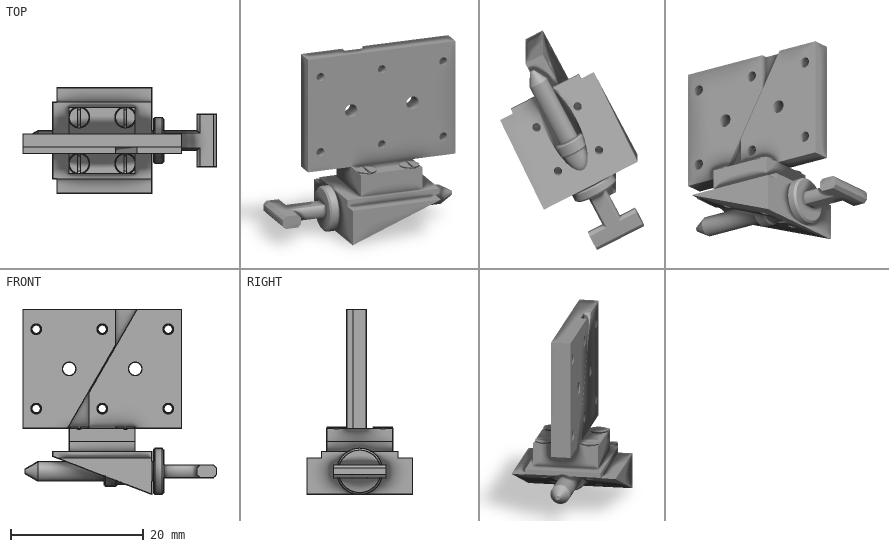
import cadquery as cq
import math


overall_length = 29.3
plate_width = 24.0
plate_height = 18.0
back_thickness = 2.0
cover_thickness = 1.0
plate_back_y = back_thickness / 2
back_front_y = -back_thickness / 2
cover_front_y = back_front_y - cover_thickness
fixing_pitch_x = 10.0
fixing_pitch_z = 12.0
tapped_dia = 1.25
clearance_dia = 1.6
window_dia = 2.0
window_pitch = 10.0
boss_dia = 2.5
boss_lip = 0.5
split_angle = 60.0
split_gap = 0.15
cover_step_x = 2.0

block_side = 10.0
block_thickness = 2.0

pad_thickness = 1.5
shelf_thickness = 1.0
shelf_width = 11.6
base_length = 15.0
base_width = 16.0
base_bottom_z = -10.0
slope_angle = 21.0
pad_top_z = -block_thickness
shelf_top_z = pad_top_z - pad_thickness
wing_top_z = shelf_top_z - shelf_thickness
nose_bottom_z = base_bottom_z + base_length * math.tan(math.radians(slope_angle))

screw_pitch = 7.0
head_dia = 3.0
head_top_z = 0.18
shank_dia = 1.6
screw_tip_z = -4.5
slot_width = 0.4
slot_depth = 0.35
block_hole_dia = 1.8
countersink_dia = 3.2

axis_z = -6.5
pin_dia = 3.0
pin_tip_dia = 0.7
pin_tip_x = -11.7
pin_tip_length = 2.0
collar_dia = 4.5
collar_start_x = 0.3
collar_length = 1.93
edge_chamfer = 0.2
sleeve_dia = 4.0
stud_dia = 2.5
stud_length = 1.2

guide_dia = 4.1
chamber_dia = 5.0
chamber_end_x = 6.0

knob_dia = 7.0
knob_start_x = 7.8
knob_thickness = 1.52
knob_outer_chamfer = 0.3
handle_length = 3.0
handle_span = 8.0
handle_height = 2.0
handle_chamfer = 0.5
knob_end_x = knob_start_x + knob_thickness
handle_end_x = overall_length - plate_width / 2
handle_start_x = handle_end_x - handle_length


def box(x_range, y_range, z_range):
    """Box between the given limits on each axis."""
    size = [r[1] - r[0] for r in (x_range, y_range, z_range)]
    corner = (x_range[0], y_range[0], z_range[0])
    return cq.Workplane("XY").box(*size, centered=False).translate(corner)


def centred(width):
    """Limits of a length centred on zero."""
    return (-width / 2, width / 2)


def front_profile(points, y_start, y_end):
    """Outline in X and Z, extruded along Y."""
    plane = cq.Workplane("XZ", origin=(0, y_end, 0))
    return plane.polyline(points).close().extrude(y_end - y_start)


def x_cylinder(diameter, x_start, x_end):
    """Cylinder on the plunger axis."""
    plane = cq.Workplane("YZ", origin=(x_start, 0, axis_z))
    return plane.circle(diameter / 2).extrude(x_end - x_start)


def z_cylinder(diameter, z_bottom, z_top):
    """Upright cylinder centred on the Z axis."""
    plane = cq.Workplane("XY", origin=(0, 0, z_bottom))
    return plane.circle(diameter / 2).extrude(z_top - z_bottom)


def z_cone(top_dia, bottom_dia, z_top):
    """90 degree countersunk shape, wide end up, centred on the Z axis."""
    depth = (top_dia - bottom_dia) / 2
    outline = [(0, z_top), (top_dia / 2, z_top), (bottom_dia / 2, z_top - depth), (0, z_top - depth)]
    return cq.Workplane("XZ").polyline(outline).close().revolve(360, (0, 0, 0), (0, 1, 0))


screw_places = [(x, y) for x in centred(screw_pitch) for y in centred(screw_pitch)]


def cut_at_screws(body, cutter):
    """Cut the same shape out of a body at every screw."""
    for x, y in screw_places:
        body = body.cut(cutter.translate((x, y, 0)))
    return body


def plate_cylinders(diameter, pitch_x, pitch_z, count_x, count_z, y_start, y_end):
    """Grid of cylinders along Y, centred on the upright plate."""
    plane = cq.Workplane("XZ", origin=(0, y_end, plate_height / 2))
    return plane.rarray(pitch_x, pitch_z, count_x, count_z).circle(diameter / 2).extrude(y_end - y_start)


def fixing_holes(diameter):
    """Cutters for the six fixing holes through the upright plates."""
    return plate_cylinders(diameter, fixing_pitch_x, fixing_pitch_z, 3, 2, cover_front_y, plate_back_y)


def windows():
    """Cutters for the two windows through the upright plates."""
    return plate_cylinders(window_dia, window_pitch, 0.3, 2, 1, cover_front_y, plate_back_y)


def bosses():
    """Locating bosses that stand on the back plate and fill recesses in the covers."""
    return plate_cylinders(boss_dia, window_pitch, 0.3, 2, 1, cover_front_y + boss_lip, back_front_y)


def make_holder():
    """Mounting block with the upright back plate and its bosses standing on it."""
    block = box(centred(block_side), centred(block_side), (-block_thickness, 0))
    block = cut_at_screws(block, z_cylinder(block_hole_dia, -block_thickness, 0))
    block = cut_at_screws(block, z_cone(countersink_dia, block_hole_dia, 0))
    plate = box(centred(plate_width), centred(back_thickness), (0, plate_height))
    plate = plate.union(bosses()).cut(fixing_holes(tapped_dia)).cut(windows())
    return block.union(plate)


def make_left_cover():
    """Left cover plate: slanted inner edge, ended by a vertical edge above."""
    slope = math.tan(math.radians(split_angle))
    bottom_x = -plate_height / 2 / slope - split_gap / 2
    step_z = (cover_step_x - bottom_x) * slope
    outline = [
        (-plate_width / 2, 0),
        (bottom_x, 0),
        (cover_step_x, step_z),
        (cover_step_x, plate_height),
        (-plate_width / 2, plate_height),
    ]
    cover = front_profile(outline, cover_front_y, back_front_y)
    return cover.cut(fixing_holes(clearance_dia)).cut(windows()).cut(bosses())


def make_right_cover(left_cover):
    """Right cover plate: the left one turned half a turn about the plate's centre."""
    centre = (0, 0, plate_height / 2)
    return left_cover.rotate(centre, (0, 1, plate_height / 2), 180)


def make_base():
    """Wedge with a sloping underside, two side wings, a shelf and a pad on top."""
    half_length = base_length / 2
    outline = [
        (-half_length, shelf_top_z),
        (-half_length, nose_bottom_z),
        (half_length, base_bottom_z),
        (half_length, shelf_top_z),
    ]
    base = front_profile(outline, *centred(base_width))
    for side in (-1, 1):
        wing_y = sorted((side * shelf_width / 2, side * base_width / 2))
        base = base.cut(box(centred(base_length), wing_y, (wing_top_z, shelf_top_z)))
    base = base.union(box(centred(block_side), centred(block_side), (shelf_top_z, pad_top_z)))
    base = cut_at_screws(base, z_cylinder(tapped_dia, base_bottom_z, pad_top_z))
    base = cut_at_screws(base, z_cylinder(shank_dia, screw_tip_z, pad_top_z))
    base = base.cut(x_cylinder(guide_dia, -half_length, half_length))
    return base.cut(x_cylinder(chamber_dia, -half_length, chamber_end_x))


def make_screw():
    """Slotted countersunk screw on the Z axis."""
    screw = z_cone(head_dia, shank_dia, head_top_z).union(z_cylinder(shank_dia, screw_tip_z, head_top_z))
    slot = box(centred(slot_width), centred(head_dia), (head_top_z - slot_depth, head_top_z))
    return screw.cut(slot)


def make_pin():
    """Plunger pin with a conical tip, a stop collar, a guide sleeve and a stud for the knob."""
    cone_end_x = pin_tip_x + pin_tip_length
    collar_end_x = collar_start_x + collar_length
    plane = cq.Workplane("XY", origin=(0, 0, axis_z))
    tip_outline = [(pin_tip_x, 0), (pin_tip_x, pin_tip_dia / 2), (cone_end_x, pin_dia / 2), (cone_end_x, 0)]
    tip = plane.polyline(tip_outline).close().revolve(360, (0, 0, 0), (1, 0, 0))
    collar = x_cylinder(collar_dia, collar_start_x, collar_end_x).edges().chamfer(edge_chamfer)
    pin = tip.union(x_cylinder(pin_dia, cone_end_x, knob_start_x))
    pin = pin.union(collar)
    pin = pin.union(x_cylinder(sleeve_dia, collar_end_x, base_length / 2))
    return pin.union(x_cylinder(stud_dia, knob_start_x, knob_start_x + stud_length))


def make_knob():
    """Round flange with a flattened stem and a chamfered cross handle."""
    flange = x_cylinder(knob_dia, knob_start_x, knob_end_x)
    flange = flange.faces("<X").edges().chamfer(edge_chamfer)
    flange = flange.faces(">X").edges().chamfer(knob_outer_chamfer)
    height_range = (axis_z - handle_height / 2, axis_z + handle_height / 2)
    stem_flats = box((knob_end_x, handle_end_x), centred(pin_dia), height_range)
    stem = x_cylinder(pin_dia, knob_end_x, handle_end_x - handle_chamfer).intersect(stem_flats)
    handle = box((handle_start_x, handle_end_x), centred(handle_span), height_range)
    handle = handle.edges("|Y").chamfer(handle_chamfer)
    knob = flange.union(stem).union(handle)
    return knob.cut(x_cylinder(stud_dia, knob_start_x, knob_start_x + stud_length))


holder = make_holder()
left_cover = make_left_cover()
right_cover = make_right_cover(left_cover)
base = make_base()
pin = make_pin()
knob = make_knob()
screws = [make_screw().translate((x, y, 0)) for x, y in screw_places]

result = cq.Compound.makeCompound([
    holder.solids().val(),
    left_cover.solids().val(),
    right_cover.solids().val(),
    base.solids().val(),
    pin.solids().val(),
    knob.solids().val(),
    *[screw.solids().val() for screw in screws],
])